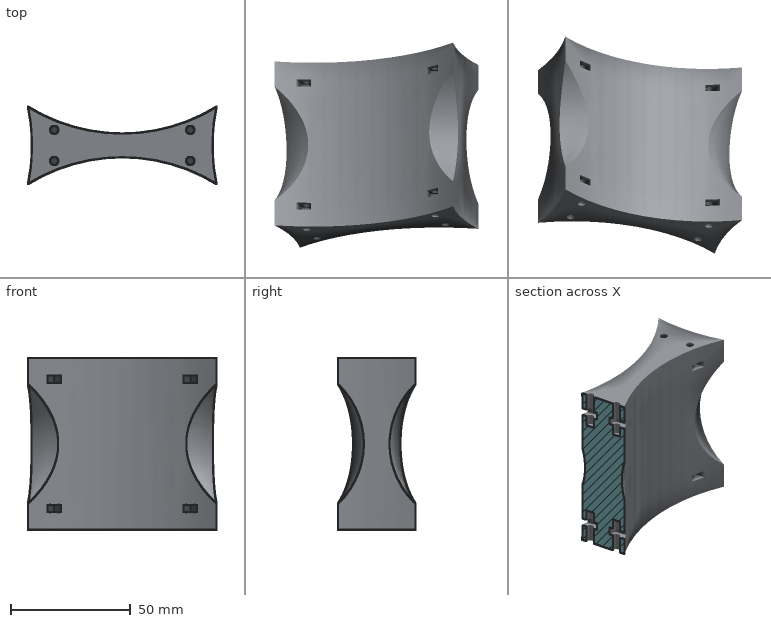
import cadquery as cq
import math

length = 79.0
width = 32.5
height = 72.0
long_side_sag = 11.2
end_sag = 1.7

scallop_depth = 10.7
scallop_half_height = 25.05

hole_diameter = 3.4
hole_depth = 15.0
hole_x = 28.45
hole_y = 6.5
nut_flats = 5.7
nut_thickness = 3.0
nut_z = 27.0

half_length = length / 2
half_width = width / 2
corner_signs = [(sx, sy) for sx in (-1, 1) for sy in (-1, 1)]


def make_block():
    """Extrude the outline of four inward arcs about the mid-height plane."""
    waist_y = half_width - long_side_sag
    waist_x = half_length - end_sag
    return (
        cq.Workplane("XY")
        .workplane(offset=-height / 2)
        .moveTo(-half_length, -half_width)
        .threePointArc((0, -waist_y), (half_length, -half_width))
        .threePointArc((waist_x, 0), (half_length, half_width))
        .threePointArc((0, waist_y), (-half_length, half_width))
        .threePointArc((-waist_x, 0), (-half_length, -half_width))
        .close()
        .extrude(height)
    )


def make_scallop(sx, sy):
    """Cylinder across one vertical edge, parallel to the opposite diagonal of the block."""
    radius = (scallop_half_height**2 + scallop_depth**2) / (2 * scallop_depth)
    diagonal = math.hypot(length, width)
    axis = cq.Vector(length * sx, -width * sy, 0) / diagonal
    outward = cq.Vector(width * sx, length * sy, 0) / diagonal
    corner = cq.Vector(half_length * sx, half_width * sy, 0)
    center = corner + outward * (radius - scallop_depth)
    start = center - axis * half_length
    return cq.Solid.makeCylinder(radius, length, start, axis)


def make_nut_trap(sx, sy, sz):
    """Slot open to the long side, closed by a hexagon point beyond the screw axis."""
    half_flats = nut_flats / 2
    point_reach = nut_flats / math.sqrt(3)
    shoulder_y = sy * (hole_y - point_reach / 2)
    x = sx * hole_x
    return (
        cq.Workplane("XY")
        .workplane(offset=sz * nut_z - nut_thickness / 2)
        .moveTo(x - half_flats, sy * half_width)
        .lineTo(x - half_flats, shoulder_y)
        .lineTo(x, sy * (hole_y - point_reach))
        .lineTo(x + half_flats, shoulder_y)
        .lineTo(x + half_flats, sy * half_width)
        .close()
        .extrude(nut_thickness)
    )


result = make_block()

for sx, sy in corner_signs:
    result = result.cut(cq.Workplane(obj=make_scallop(sx, sy)))

hole_points = [(sx * hole_x, sy * hole_y) for sx, sy in corner_signs]
holes = (
    cq.Workplane("XY")
    .workplane(offset=height / 2 - hole_depth)
    .pushPoints(hole_points)
    .circle(hole_diameter / 2)
    .extrude(hole_depth)
)
holes = holes.union(holes.mirror("XY"))
result = result.cut(holes)

for sx, sy in corner_signs:
    for sz in (-1, 1):
        result = result.cut(make_nut_trap(sx, sy, sz))